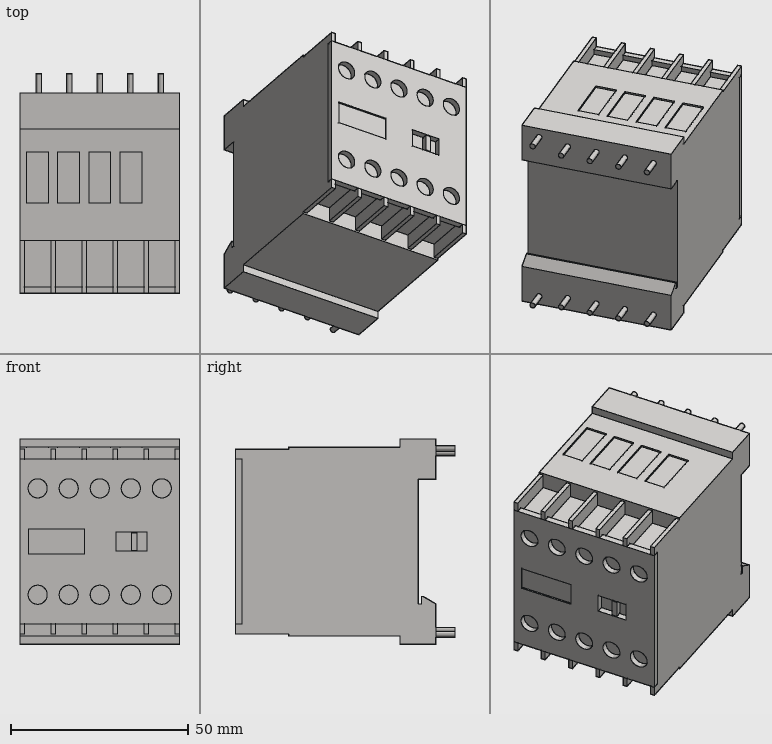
import cadquery as cq

WIDTH = 45.0
LENGTH = 62.0
HEIGHT = 58.0
FRONT_Y = -LENGTH / 2
BACK_Y = LENGTH / 2

COVER_THICKNESS = 1.85
PANEL_FRONT = 15.0
RIB_BACK = 22.75
FLANGE_FRONT = 46.45
RAIL_SEAT = 51.65
HOOK_FRONT = 52.45
FLANGE_BACK = 56.55

CORE_HALF = 21.7
COVER_HALF = 23.25
RIB_HALF = 26.1
PANEL_HALF = 26.65

WAYS = 5
RIB_THICKNESS = 1.25
PITCH = (WIDTH - RIB_THICKNESS) / WAYS

RAIL_HALF = 17.55
HOOK_TIP_Z = -15.45
HOOK_TIP_FLAT = 0.5

SCREW_DIAMETER = 5.4
SCREW_Z = 15.0

LABEL_LEFT = -20.15
LABEL_RIGHT = -4.3
LABEL_HALF = 3.5
LABEL_DEPTH = 0.5

WINDOW_LEFT = 4.5
WINDOW_RIGHT = 13.4
WINDOW_HALF = 2.7
SLIDER_LEFT = 9.0
SLIDER_RIGHT = 10.55
SLIDER_HALF = 2.5

TAG_COUNT = WAYS - 1
TAG_WIDTH = 6.2
TAG_FRONT = 25.55
TAG_BACK = 39.85
TAG_DEPTH = 0.5

PIN_DIAMETER = 1.6
PIN_PITCH = 8.6
PIN_Z = 25.0
LAST_PIN_Z = 26.2

FULL_WIDTH = (-WIDTH / 2, WIDTH / 2)


def box(x_range, depth_range, z_range):
    """Box between two X values, two distances behind the front face and two Z values."""
    (left, right), (near, far), (bottom, top) = x_range, depth_range, z_range
    size = (right - left, far - near, top - bottom)
    corner = (left, FRONT_Y + near, bottom)
    return cq.Workplane("XY").box(*size, centered=False).translate(corner)


def row_x(index, pitch):
    """X of one place in a row of WAYS places centred on the width."""
    return (index - (WAYS - 1) / 2) * pitch



def base():
    """Core and back flange, with the rail slot across the back."""
    core = box(FULL_WIDTH, (COVER_THICKNESS, RAIL_SEAT), (-CORE_HALF, CORE_HALF))
    flange = box(FULL_WIDTH, (FLANGE_FRONT, FLANGE_BACK), (-HEIGHT / 2, HEIGHT / 2))
    rail_slot = box(FULL_WIDTH, (RAIL_SEAT, FLANGE_BACK), (-RAIL_HALF, RAIL_HALF))
    return core.union(flange).cut(rail_slot)


def rail_hook():
    """Sloped hook on the lower edge of the rail slot."""
    near = FRONT_Y + HOOK_FRONT
    far = FRONT_Y + FLANGE_BACK
    outline = [
        (near, -RAIL_HALF),
        (near, HOOK_TIP_Z),
        (near + HOOK_TIP_FLAT, HOOK_TIP_Z),
        (far, -RAIL_HALF),
    ]
    return cq.Workplane("YZ").polyline(outline).close().extrude(WIDTH / 2, both=True)


def ribs():
    """Upright plates either side of every way, standing out above and below."""
    plates = cq.Workplane("XY")
    for index in range(WAYS + 1):
        left = -WIDTH / 2 + index * PITCH
        plate = box((left, left + RIB_THICKNESS), (0, RIB_BACK), (-RIB_HALF, RIB_HALF))
        plates = plates.union(plate)
    return plates


def panels():
    """Raised top and bottom panels between the terminal pockets and the flange."""
    depth = (PANEL_FRONT, FLANGE_FRONT)
    top = box(FULL_WIDTH, depth, (CORE_HALF, PANEL_HALF))
    bottom = box(FULL_WIDTH, depth, (-PANEL_HALF, -CORE_HALF))
    return top.union(bottom)


def tag_recesses():
    recesses = cq.Workplane("XY")
    for index in range(TAG_COUNT):
        x = row_x(index, PITCH)
        sides = (x - TAG_WIDTH / 2, x + TAG_WIDTH / 2)
        recess = box(sides, (TAG_FRONT, TAG_BACK), (PANEL_HALF - TAG_DEPTH, PANEL_HALF))
        recesses = recesses.union(recess)
    return recesses


def slider():
    return box((SLIDER_LEFT, SLIDER_RIGHT), (0, COVER_THICKNESS), (-SLIDER_HALF, SLIDER_HALF))


def solder_pins():
    places = []
    for index in range(WAYS):
        x = row_x(index, PIN_PITCH)
        z = LAST_PIN_Z if index == WAYS - 1 else PIN_Z
        places += [(x, z), (x, -z)]
    back_plane = cq.Workplane("XZ", origin=(0, BACK_Y, 0))
    return back_plane.pushPoints(places).circle(PIN_DIAMETER / 2).extrude(LENGTH - FLANGE_BACK)



def cover_plate():
    return box(FULL_WIDTH, (0, COVER_THICKNESS), (-COVER_HALF, COVER_HALF))


def screw_holes():
    places = [(row_x(index, PITCH), side * SCREW_Z) for index in range(WAYS) for side in (-1, 1)]
    front_plane = cq.Workplane("XZ", origin=(0, FRONT_Y, 0))
    return front_plane.pushPoints(places).circle(SCREW_DIAMETER / 2).extrude(-COVER_THICKNESS)


def label_recess():
    return box((LABEL_LEFT, LABEL_RIGHT), (0, LABEL_DEPTH), (-LABEL_HALF, LABEL_HALF))


def window():
    return box((WINDOW_LEFT, WINDOW_RIGHT), (0, COVER_THICKNESS), (-WINDOW_HALF, WINDOW_HALF))



def make_housing():
    frame = base().union(rail_hook()).union(ribs()).cut(cover_plate())
    frame = frame.union(slider()).union(solder_pins())
    fitted_panels = panels().cut(ribs()).cut(tag_recesses())
    return frame.union(fitted_panels, clean=False)


def make_cover():
    return cover_plate().cut(screw_holes()).cut(label_recess()).cut(window())


housing = make_housing()
cover = make_cover()
result = cq.Compound.makeCompound([housing.solids().val(), cover.solids().val()])